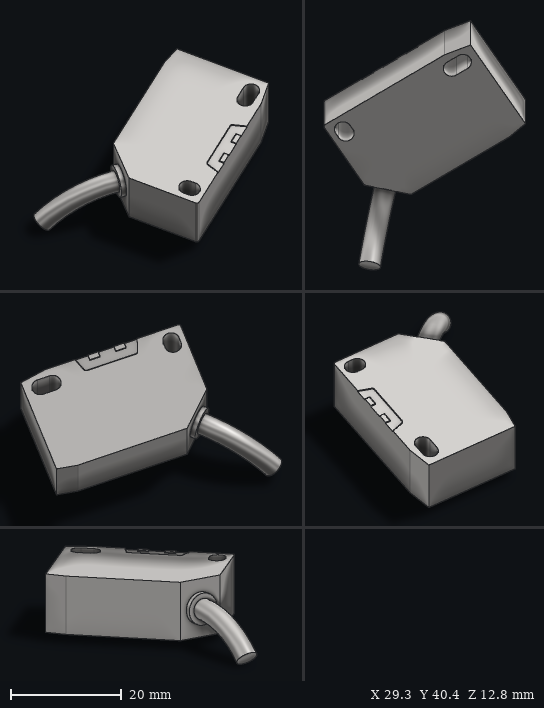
import cadquery as cq

WIDTH = 19.95
LENGTH = 31.03
HEIGHT = 11.0
CABLE_CHAMFER = 6.1
BACK_LEFT_TAPER = (0.65, 3.88)
BACK_RIGHT_TAPER = (0.9, 4.95)
FRONT_CORNER_RADIUS = 0.5

SLOT_X = 16.95
SLOT_WIDTH = 3.05
BACK_SLOT_Y = 26.85
BACK_SLOT_LENGTH = 5.4
FRONT_SLOT_Y = 2.65
FRONT_SLOT_LENGTH = 3.95

PANEL_Y = 14.25
PANEL_REACH = 2.8
PANEL_OUTER_LENGTH = 11.95
PANEL_INNER_LENGTH = 10.1
PANEL_DEPTH = 0.25
PANEL_CORNER_RADIUS = 0.5

WINDOW_REACH = 1.0
WINDOW_LENGTH = 1.98
WINDOW_SPACING = 5.0

COLLAR_DIAMETER = 6.0
COLLAR_THICKNESS = 0.95
CABLE_DIAMETER = 4.0
CABLE_BEND_RADIUS = 20.0
CABLE_BEND_ANGLE = 45


def make_housing():
    left_inset, left_length = BACK_LEFT_TAPER
    right_inset, right_length = BACK_RIGHT_TAPER
    outline = [
        (CABLE_CHAMFER, 0),
        (WIDTH, 0),
        (WIDTH, LENGTH - right_length),
        (WIDTH - right_inset, LENGTH),
        (left_inset, LENGTH),
        (0, LENGTH - left_length),
        (0, CABLE_CHAMFER),
    ]
    block = cq.Workplane("XY").polyline(outline).close().extrude(HEIGHT)
    return block.edges("|Z and >X and <Y").fillet(FRONT_CORNER_RADIUS)


def make_slot(y, length, angle):
    return cq.Workplane("XY").center(SLOT_X, y).slot2D(length, SLOT_WIDTH, angle).extrude(HEIGHT)


def make_panel_recess():
    inner_x = WIDTH - PANEL_REACH
    outline = [
        (WIDTH, PANEL_Y - PANEL_OUTER_LENGTH / 2),
        (WIDTH, PANEL_Y + PANEL_OUTER_LENGTH / 2),
        (inner_x, PANEL_Y + PANEL_INNER_LENGTH / 2),
        (inner_x, PANEL_Y - PANEL_INNER_LENGTH / 2),
    ]
    floor = cq.Workplane("XY", origin=(0, 0, HEIGHT - PANEL_DEPTH))
    recess = floor.polyline(outline).close().extrude(PANEL_DEPTH)
    return recess.edges("|Z and <X").fillet(PANEL_CORNER_RADIUS)


def make_window(y):
    window = cq.Workplane("XY").box(WINDOW_REACH, WINDOW_LENGTH, PANEL_DEPTH)
    return window.translate((WIDTH - WINDOW_REACH / 2, y, HEIGHT - PANEL_DEPTH / 2))


def make_cable_outlet():
    chamfer_middle = (CABLE_CHAMFER / 2, CABLE_CHAMFER / 2, HEIGHT / 2)
    face = cq.Plane(origin=chamfer_middle, xDir=(1, -1, 0), normal=(-1, -1, 0))
    collar = cq.Workplane(face).circle(COLLAR_DIAMETER / 2).extrude(COLLAR_THICKNESS)
    cable_start = cq.Workplane(face).workplane(offset=COLLAR_THICKNESS).circle(CABLE_DIAMETER / 2)
    bend_axis_start = (0, -CABLE_BEND_RADIUS, 0)
    bend_axis_end = (1, -CABLE_BEND_RADIUS, 0)
    cable = cable_start.revolve(CABLE_BEND_ANGLE, bend_axis_start, bend_axis_end)
    return collar.union(cable)


result = make_housing()
result = result.cut(make_slot(BACK_SLOT_Y, BACK_SLOT_LENGTH, 90))
result = result.cut(make_slot(FRONT_SLOT_Y, FRONT_SLOT_LENGTH, 0))
result = result.cut(make_panel_recess())
for side in (-1, 1):
    result = result.union(make_window(PANEL_Y + side * WINDOW_SPACING / 2))
result = result.union(make_cable_outlet())